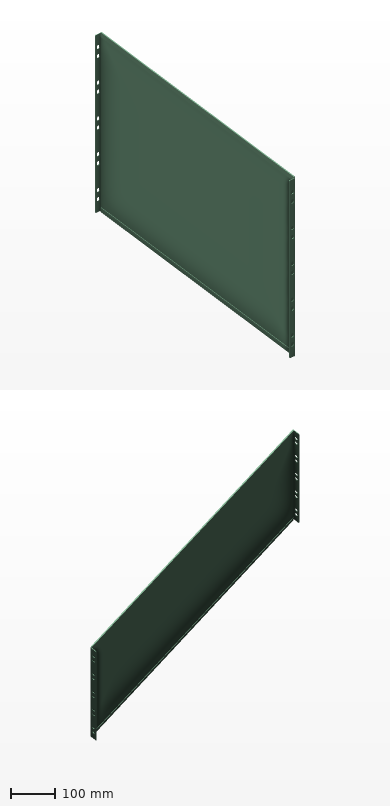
import cadquery as cq

length = 706.0
depth = 18.0
height = 503.5

sheet = 1.5
bend_radius = 2.25

flange_inset = 2.5
flange_corner_radius = 3.0

hem_width = 13.0
hem_thickness = 2 * sheet
hem_end_inset = 2.5

slot_width = 8.0
slot_height = 11.0
slot_y = -0.35
slot_spacing = 25.5
pair_count = 5
pair_pitch = 100.0

back_y = depth / 2
flange_height = height - 2 * flange_inset


def make_channel():
    """Back panel and both side flanges, bent from one sheet."""
    outer = (
        cq.Workplane("XY")
        .box(length, depth, flange_height)
        .faces(">Y")
        .edges("|Z")
        .fillet(bend_radius)
    )
    inner = (
        cq.Workplane("XY")
        .box(length - 2 * sheet, depth, flange_height)
        .translate((0, -sheet, 0))
        .faces(">Y")
        .edges("|Z")
        .fillet(bend_radius - sheet)
    )
    channel = outer.cut(inner)
    return channel.faces("<Y").edges("|X").fillet(flange_corner_radius)


def make_flat_panel():
    """Flat sheet between the bends, reaching the full height."""
    return (
        cq.Workplane("XY")
        .box(length - 2 * bend_radius, sheet, height)
        .translate((0, back_y - sheet / 2, 0))
    )


def make_hem(side):
    """Closed hem at the top (side = 1) or the bottom (side = -1)."""
    hem_y = back_y - hem_thickness / 2
    hem_z = side * (height - hem_width) / 2
    return (
        cq.Workplane("XY")
        .box(length - 2 * hem_end_inset, hem_thickness, hem_width)
        .translate((0, hem_y, hem_z))
    )


def make_flange_slots():
    """Cutters for the slot pairs, running through both side flanges."""
    first_pair_z = -(pair_count - 1) / 2 * pair_pitch
    centres = []
    for index in range(pair_count):
        pair_z = first_pair_z + index * pair_pitch
        for side in (-1, 1):
            centres.append((slot_y, pair_z + side * slot_spacing / 2))
    return (
        cq.Workplane("YZ")
        .pushPoints(centres)
        .slot2D(slot_height, slot_width, 90)
        .extrude(length, both=True)
    )


result = make_channel().union(make_flat_panel())
for end in (-1, 1):
    result = result.union(make_hem(end))
result = result.cut(make_flange_slots())